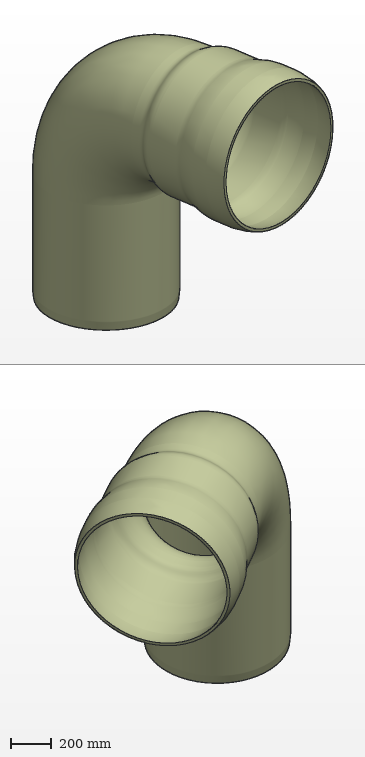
import cadquery as cq

pipe_diameter = 730.0
wall = 15.4
outer_radius = pipe_diameter / 2
bend_radius = 501.0
overall_height = 1621.0
overall_length = 1515.0

sleeve_diameter = 793.0
bulge_diameter = 841.0
sleeve_radius = sleeve_diameter / 2
bulge_radius = bulge_diameter / 2

neck_length = 49.0
flare_start_length = 42.0
flare_end_length = 60.0
sleeve_length = 172.0
swell_start_length = 40.0
swell_end_length = 92.0
bulge_length = 90.0
mouth_drop = 21.0

tip_height = 45.0
tip_blend_height = 5.0
tip_drop = 5.0

socket_axis_z = overall_height - bulge_radius
spigot_length = socket_axis_z - bend_radius
mouth_x = overall_length - outer_radius


def socket_revolve(offset):
    """Solid of revolution for the socket, its radii reduced by offset."""
    flare_share = flare_start_length / (flare_start_length + flare_end_length)
    swell_share = swell_start_length / (swell_start_length + swell_end_length)
    neck = outer_radius - offset
    sleeve = sleeve_radius - offset
    bulge = bulge_radius - offset

    neck_end = bend_radius + neck_length
    flare_middle = neck_end + flare_start_length
    flare_end = flare_middle + flare_end_length
    sleeve_end = flare_end + sleeve_length
    swell_middle = sleeve_end + swell_start_length
    swell_end = swell_middle + swell_end_length
    bulge_end = swell_end + bulge_length

    profile = (
        cq.Workplane("XZ")
        .moveTo(bend_radius, 0)
        .lineTo(bend_radius, neck)
        .lineTo(neck_end, neck)
        .tangentArcPoint((flare_middle, neck + flare_share * (sleeve - neck)), relative=False)
        .tangentArcPoint((flare_end, sleeve), relative=False)
        .lineTo(sleeve_end, sleeve)
        .tangentArcPoint((swell_middle, sleeve + swell_share * (bulge - sleeve)), relative=False)
        .tangentArcPoint((swell_end, bulge), relative=False)
        .lineTo(bulge_end, bulge)
        .tangentArcPoint((mouth_x, bulge - mouth_drop), relative=False)
        .lineTo(mouth_x, 0)
        .close()
    )
    return profile.revolve(360, (0, 0, 0), (1, 0, 0)).translate((0, 0, socket_axis_z))


def bend_revolve(radius):
    """Quarter torus from the spigot to the socket."""
    return (
        cq.Workplane("XY", origin=(0, 0, spigot_length))
        .circle(radius)
        .revolve(90, (bend_radius, 0, 0), (bend_radius, 1, 0))
    )


def spigot_revolve():
    """Solid spigot with a slightly tapered tip blended into the pipe."""
    taper = tip_drop / (tip_height + tip_blend_height / 2)
    blend_drop = taper * tip_blend_height / 2
    return (
        cq.Workplane("XZ")
        .lineTo(0, spigot_length)
        .lineTo(outer_radius, spigot_length)
        .lineTo(outer_radius, tip_height + tip_blend_height)
        .tangentArcPoint((outer_radius - blend_drop, tip_height), relative=False)
        .lineTo(outer_radius - tip_drop, 0)
        .close()
        .revolve(360, (0, 0, 0), (0, 1, 0))
    )


def make_pipe_bend():
    """Hollow 90 degree pipe bend with a spigot end and a socket end."""
    bore_radius = outer_radius - wall
    outside = spigot_revolve().union(bend_revolve(outer_radius)).union(socket_revolve(0))
    spigot_bore = cq.Workplane("XY").circle(bore_radius).extrude(spigot_length)
    bore = spigot_bore.union(bend_revolve(bore_radius)).union(socket_revolve(wall))
    return outside.cut(bore)


pipe_bend = make_pipe_bend()
result = cq.Compound.makeCompound([pipe_bend.solids().val()])